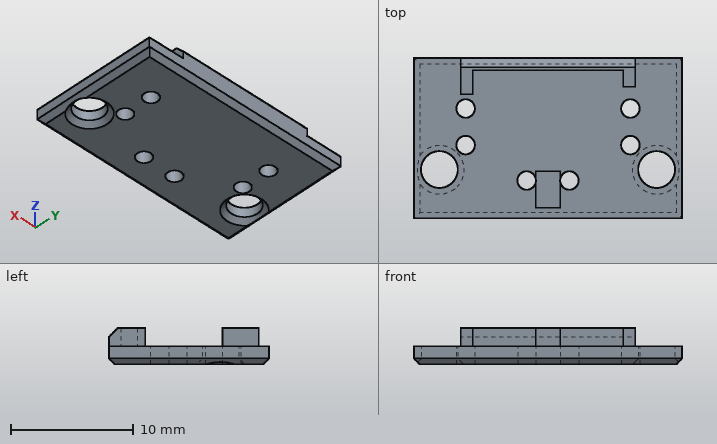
import cadquery as cq

plate_length = 22.0
plate_width = 13.15
plate_thickness = 1.5
underside_chamfer = 0.5
front_edge = -plate_width / 2
back_edge = plate_width / 2

rise = 1.5

bracket_length = 14.3
wall_depth = 1.0
leg_width = 1.0
left_leg_depth = 3.0
right_leg_depth = 2.35
bracket_chamfer = 0.75

block_length = 2.0
block_depth = 3.0
block_front_y = front_edge + 0.85

small_hole_diameter = 1.5
side_hole_x = 6.75
side_hole_rows = (front_edge + 6.0, front_edge + 9.0)
front_hole_x = 1.75
front_hole_y = front_edge + 3.1

large_hole_diameter = 3.0
large_hole_x = 8.9
large_hole_y = front_edge + 4.0

countersink_diameter = 4.0
countersink_depth = 0.5


def raised_box(x_min, x_max, y_min, y_max):
    """Box standing on the plate and as tall as the common rise."""
    box = cq.Workplane("XY").box(x_max - x_min, y_max - y_min, rise, centered=False)
    return box.translate((x_min, y_min, plate_thickness))


def make_plate():
    plate = cq.Workplane("XY").rect(plate_length, plate_width).extrude(plate_thickness)
    return plate.faces("<Z").edges().chamfer(underside_chamfer)


def make_bracket():
    half = bracket_length / 2
    wall = raised_box(-half, half, back_edge - wall_depth, back_edge)
    left_leg = raised_box(-half, -half + leg_width, back_edge - left_leg_depth, back_edge)
    right_leg = raised_box(half - leg_width, half, back_edge - right_leg_depth, back_edge)
    bracket = wall.union(left_leg).union(right_leg).clean()
    return bracket.faces(">Y").edges(">Z").chamfer(bracket_chamfer)


def make_block():
    half = block_length / 2
    return raised_box(-half, half, block_front_y, block_front_y + block_depth)


def mirrored_pair(x, y):
    return [(-x, y), (x, y)]


def hole_cutter(centers, diameter):
    return cq.Workplane("XY").pushPoints(centers).circle(diameter / 2).extrude(plate_thickness)


def countersink_cutter(centers):
    cone = cq.Solid.makeCone(countersink_diameter / 2, large_hole_diameter / 2, countersink_depth)
    return cq.Workplane("XY").pushPoints(centers).eachpoint(lambda place: cone.moved(place))


small_hole_centers = mirrored_pair(front_hole_x, front_hole_y)
for row_y in side_hole_rows:
    small_hole_centers += mirrored_pair(side_hole_x, row_y)
large_hole_centers = mirrored_pair(large_hole_x, large_hole_y)

plate = make_plate()
plate = plate.cut(hole_cutter(small_hole_centers, small_hole_diameter))
plate = plate.cut(hole_cutter(large_hole_centers, large_hole_diameter))
plate = plate.cut(countersink_cutter(large_hole_centers))

result = plate.union(make_bracket()).union(make_block())